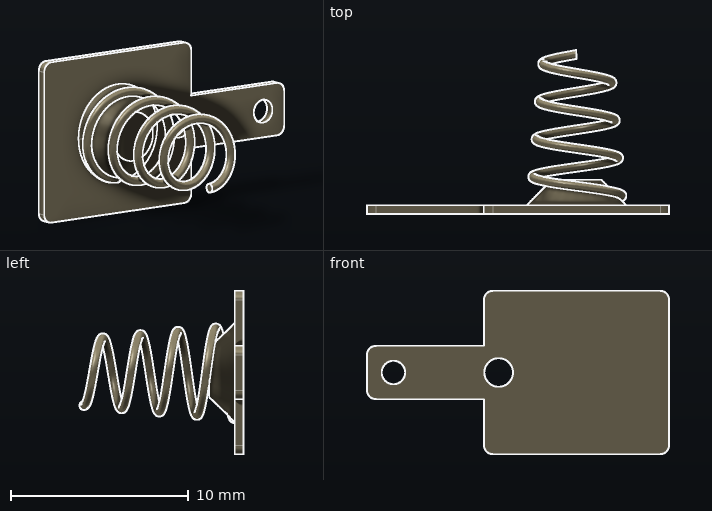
import cadquery as cq

total_length = 16.99
plate_height = 9.2
plate_length = 10.41
thickness = 0.51
corner_radius = 0.51
tab_height = 3.0
tab_hole_diameter = 1.3
tab_hole_x = 1.5
plate_hole_diameter = 1.6
plate_hole_x = 7.4

seat_base_radius = 2.79
seat_top_radius = 1.4
seat_height = 1.43
wire_diameter = 0.51
spring_turns = 4
spring_pitch = 2.12
spring_base_radius = 2.6
spring_taper = 5.0

center_x = total_length - plate_length / 2


def stand_up(body, x, y):
    """Turn a body built along +Z to point along +Y, with its origin at (x, y, 0)."""
    return body.rotate((0, 0, 0), (1, 0, 0), -90).translate((x, y, 0))


def make_plate():
    """Rounded plate with a narrow tab and two round holes, built flat on the XY plane."""
    plate = (
        cq.Workplane("XY")
        .center(center_x, 0)
        .rect(plate_length, plate_height)
        .extrude(thickness)
        .edges("|Z")
        .fillet(corner_radius)
    )
    tab = (
        cq.Workplane("XY")
        .center(center_x / 2, 0)
        .rect(center_x, tab_height)
        .extrude(thickness)
        .edges("|Z and <X")
        .fillet(corner_radius)
    )
    body = plate.union(tab)
    for x, diameter in ((tab_hole_x, tab_hole_diameter), (plate_hole_x, plate_hole_diameter)):
        hole = cq.Workplane("XY").center(x, 0).circle(diameter / 2).extrude(thickness)
        body = body.cut(hole)
    return body


def make_seat():
    """Solid cone frustum that sits inside the first coil."""
    return cq.Workplane(cq.Solid.makeCone(seat_base_radius, seat_top_radius, seat_height))


def make_spring():
    """Left-handed wire coil, narrowing towards its free end."""
    height = spring_turns * spring_pitch
    path = cq.Wire.makeHelix(
        spring_pitch, height, spring_base_radius, angle=-spring_taper, lefthand=True
    )
    wire = (
        cq.Workplane("XZ", origin=(spring_base_radius, 0, 0))
        .circle(wire_diameter / 2)
        .sweep(cq.Workplane(path), isFrenet=True)
    )
    return wire.rotate((0, 0, 0), (0, 0, 1), 90)


plate = stand_up(make_plate(), 0, 0)
seat = stand_up(make_seat(), center_x, thickness)
spring = stand_up(make_spring(), center_x, thickness)
result = plate.union(seat).union(spring)